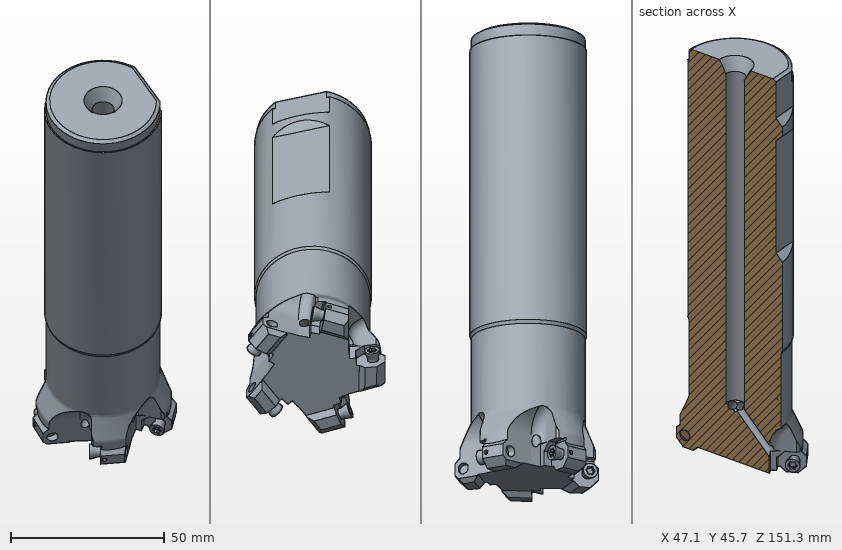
import cadquery as cq
import math

total_height = 151.3
shank_radius = 19.0
neck_radius = 18.6
cap_base = 146.7
top_chamfer_width = 1.2
top_chamfer_height = 0.8
step_top = 49.9
step_bottom = 48.7

head_radius = 22.2
flare_top = 20.0
flare_bottom = 11.6
flare_blend_radius = 2.3
head_base = 1.8

flat_distance = 16.5
flat_depth = shank_radius - flat_distance
lower_flat_start = 86.0
lower_flat_end = 128.3
upper_flat_start = 136.9

bore_radius = 3.6
bore_mouth_radius = 6.2
bore_mouth_depth = 4.5
bore_end = 22.7
bore_tip_angle = 118.0

tooth_count = 5
tooth_pitch = 360.0 / tooth_count
first_tooth_angle = 260.0
seat_y = -0.9
lip_y = -3.8

lip_bevel_x = 21.0
lip_bevel_width = 1.2
lip_bevel_height = 0.8

seat_half_width = 4.7
octagon_sides = 8
octagon_half_step = 180.0 / octagon_sides
seat_half_side = seat_half_width * math.tan(math.radians(octagon_half_step))
seat_center_x = 19.0
seat_center_z = seat_half_width
seat_relief = 6.0
groove_radius = 0.5
seat_back_y = 12.1

flank_hole_radius = 0.68
flank_hole_depth = 1.2
flank_hole_y = 0.5

floor_x = 12.4
floor_end_y = -7.5
wall_tilt = 6.0
gullet_corner_radius = 3.3
heel_bevel = 1.5
ceiling_start = 12.1
ceiling_radius = 10.3

duct_radius = 1.5
duct_y = -5.6
duct_exit_z = 10.5
duct_slope = 45.0

screw_x = 19.8
screw_z = seat_center_z
screw_head_radius = 2.4
screw_rim = 0.8
screw_head_y = -4.5
screw_shank_radius = 1.8
screw_end_y = 5.5
cone_end_y = -1.8
socket_depth = 1.4
socket_core_radius = 1.13
socket_lobe_radius = 0.38
lobe_count = 6

reach = 45.4
margin = 0.2


def at_tooth(shape, index):
    """Turn a shape from the tooth frame to the place of one tooth."""
    return shape.rotate((0, 0, 0), (0, 0, 1), first_tooth_angle + index * tooth_pitch)


def tooth_plane(y):
    """Vertical plane at one Y of the tooth frame: local x is outward, local y is up, normal is -Y."""
    return cq.Plane(origin=(0, y, 0), xDir=(1, 0, 0), normal=(0, -1, 0))


def make_blank():
    """Shank, neck and flared head as one turned shape."""
    profile = (
        cq.Workplane("XZ")
        .moveTo(0, head_base)
        .lineTo(head_radius, head_base)
        .lineTo(head_radius, flare_bottom)
        .lineTo(neck_radius, flare_top)
        .lineTo(neck_radius, step_bottom)
        .lineTo(shank_radius, step_top)
        .lineTo(shank_radius, cap_base)
        .lineTo(neck_radius, cap_base)
        .lineTo(neck_radius, total_height - top_chamfer_height)
        .lineTo(neck_radius - top_chamfer_width, total_height)
        .lineTo(0, total_height)
        .close()
    )
    blank = profile.revolve(360, (0, 0, 0), (0, 1, 0))
    for height in (flare_bottom, flare_top):
        band = cq.selectors.BoxSelector(
            (-reach, -reach, height - margin), (reach, reach, height + margin), boundingbox=True
        )
        blank = blank.edges(band).fillet(flare_blend_radius)
    return blank


def make_flats():
    """Tools for the two flats; the upper one runs out through the top."""
    lower = (
        cq.Workplane("YZ")
        .moveTo(flat_distance, lower_flat_start)
        .lineTo(flat_distance, lower_flat_end)
        .lineTo(flat_distance + 2 * flat_depth, lower_flat_end + 2 * flat_depth)
        .lineTo(flat_distance + 2 * flat_depth, lower_flat_start - 2 * flat_depth)
        .close()
        .extrude(shank_radius, both=True)
    )
    upper = (
        cq.Workplane("YZ")
        .moveTo(flat_distance - top_chamfer_width, total_height)
        .lineTo(flat_distance, total_height - top_chamfer_height)
        .lineTo(flat_distance, upper_flat_start)
        .lineTo(flat_distance + flat_depth, upper_flat_start - flat_depth)
        .lineTo(flat_distance + flat_depth, total_height)
        .close()
        .extrude(shank_radius, both=True)
    )
    return [lower, upper]


def make_bore():
    """Blind coolant bore with a conical mouth and a drill tip."""
    tip_height = bore_radius / math.tan(math.radians(bore_tip_angle / 2))
    return (
        cq.Workplane("XZ")
        .moveTo(0, total_height)
        .lineTo(bore_mouth_radius, total_height)
        .lineTo(bore_radius, total_height - bore_mouth_depth)
        .lineTo(bore_radius, bore_end)
        .lineTo(0, bore_end - tip_height)
        .close()
        .revolve(360, (0, 0, 0), (0, 1, 0))
    )


def make_octagon(y_front, y_back):
    """Octagonal prism lying along Y, centred on the insert seat."""
    corner_radius = seat_half_width / math.cos(math.radians(octagon_half_step))
    return (
        cq.Workplane(tooth_plane(y_back))
        .center(seat_center_x, seat_center_z)
        .transformed(rotate=(0, 0, octagon_half_step))
        .polygon(octagon_sides, 2 * corner_radius)
        .extrude(y_back - y_front)
    )


def make_vault():
    """Channel along Y with a flat side at X = 0 that curves over into a ceiling."""
    ceiling_top = ceiling_start + ceiling_radius
    diagonal = ceiling_radius * math.sqrt(0.5)
    return (
        cq.Workplane("XZ")
        .moveTo(0, -reach)
        .lineTo(0, ceiling_start)
        .threePointArc(
            (ceiling_radius - diagonal, ceiling_start + diagonal),
            (ceiling_radius, ceiling_top),
        )
        .lineTo(reach, ceiling_top)
        .lineTo(reach, -reach)
        .close()
        .extrude(reach)
    )


def make_gullet():
    """Gullet tool: rounded corner at the lip, then the tilted back wall of the tooth ahead."""
    corner = make_vault().translate((floor_x, lip_y, 0))
    rounded_edges = cq.selectors.BoxSelector(
        (floor_x - margin, lip_y - margin, -2 * reach),
        (floor_x + ceiling_radius + margin, lip_y + margin, reach),
        boundingbox=True,
    )
    top_edge = cq.selectors.BoxSelector(
        (floor_x + margin, lip_y - margin, ceiling_start + ceiling_radius - margin),
        (2 * reach, lip_y + margin, reach),
        boundingbox=True,
    )
    corner = corner.edges(rounded_edges + top_edge).fillet(gullet_corner_radius)
    corner_space = (
        cq.Workplane("XY")
        .box(2 * reach, lip_y - floor_end_y, 4 * reach)
        .translate((0, (lip_y + floor_end_y) / 2, 0))
    )
    wall_space = (
        cq.Workplane("XY")
        .box(4 * reach, 2 * reach, 4 * reach)
        .translate((0, floor_end_y - reach, 0))
    )
    wall = (
        make_vault()
        .translate((0, reach / 2, 0))
        .rotate((0, 0, 0), (0, 0, 1), wall_tilt)
        .translate((floor_x, floor_end_y, 0))
    )
    return corner.intersect(corner_space).union(wall.intersect(wall_space))


def make_heel_bevel():
    """45 degree bevel along the foot of the back wall of the tooth ahead."""
    return (
        cq.Workplane("XZ")
        .moveTo(-2 * heel_bevel, -heel_bevel)
        .lineTo(heel_bevel, 2 * heel_bevel)
        .lineTo(heel_bevel, -heel_bevel)
        .close()
        .extrude(reach)
        .rotate((0, 0, 0), (0, 0, 1), wall_tilt)
        .translate((floor_x, floor_end_y, 0))
    )


def make_pocket():
    """Space for the insert in front of the seat, open outward and downward."""
    octagon = make_octagon(lip_y, seat_y)
    corner_x = seat_center_x - seat_half_width
    below = (
        cq.Workplane("XY")
        .box(reach, seat_y - lip_y, reach, centered=False)
        .translate((corner_x, lip_y, seat_center_z - reach))
    )
    outside = (
        cq.Workplane("XY")
        .box(reach, seat_y - lip_y, seat_half_width, centered=False)
        .translate((seat_center_x, lip_y, seat_center_z))
    )
    inner_step = (
        cq.Workplane("XY")
        .box(reach, lip_y - floor_end_y, reach, centered=False)
        .translate((floor_x, floor_end_y, seat_center_z + seat_half_width - reach))
    )
    groove = cq.Workplane(
        cq.Solid.makeCylinder(
            groove_radius,
            reach,
            cq.Vector(seat_center_x - seat_half_side, seat_y, seat_center_z + seat_half_width),
            cq.Vector(1, 0, 0),
        )
    )
    return octagon.union(below).union(outside).union(inner_step).union(groove)


def make_duct():
    """Round coolant duct falling outward from the bore axis to the gullet floor."""
    run = math.hypot(floor_x, duct_y)
    start = cq.Vector(0, 0, duct_exit_z + run * math.tan(math.radians(duct_slope)))
    path = cq.Vector(floor_x, duct_y, duct_exit_z) - start
    length = path.Length + 2 * duct_radius
    return cq.Workplane(cq.Solid.makeCylinder(duct_radius, length, start, path))


def make_lip_bevel():
    """Wedge that takes the sharp outer corner off the lip."""
    return (
        cq.Workplane("XY")
        .moveTo(lip_bevel_x, lip_y)
        .lineTo(lip_bevel_x + 2 * lip_bevel_width, lip_y)
        .lineTo(lip_bevel_x + 2 * lip_bevel_width, lip_y + 2 * lip_bevel_height)
        .close()
        .extrude(flare_top)
    )


def make_flank_hole():
    """Small blind hole in the outer flank of the seat."""
    return cq.Workplane(
        cq.Solid.makeCylinder(
            flank_hole_radius,
            reach,
            cq.Vector(seat_center_x + seat_half_width - flank_hole_depth, flank_hole_y, seat_center_z),
            cq.Vector(1, 0, 0),
        )
    )


def make_screw_hole():
    """Hole for the screw shank, through the seat and out of the back of the tooth."""
    return (
        cq.Workplane(tooth_plane(reach / 2))
        .center(screw_x, screw_z)
        .circle(screw_shank_radius)
        .extrude(reach / 2 - seat_y)
    )


def make_screw():
    """Countersunk-head screw standing proud of the seat, with a six-lobed socket."""
    screw = (
        cq.Workplane("XY")
        .moveTo(0, screw_head_y)
        .lineTo(screw_head_radius, screw_head_y)
        .lineTo(screw_head_radius, screw_head_y + screw_rim)
        .lineTo(screw_shank_radius, cone_end_y)
        .lineTo(screw_shank_radius, screw_end_y)
        .lineTo(0, screw_end_y)
        .close()
        .revolve(360, (0, 0, 0), (0, 1, 0))
        .translate((screw_x, 0, screw_z))
    )
    socket = cq.Workplane(tooth_plane(screw_head_y + socket_depth)).center(screw_x, screw_z)
    core = socket.circle(socket_core_radius).extrude(socket_depth)
    lobes = (
        socket.polarArray(socket_core_radius, 0, 360, lobe_count)
        .circle(socket_lobe_radius)
        .extrude(socket_depth)
    )
    return screw.cut(core).cut(lobes)


def make_cutter():
    """Cutter body with its flats, bore and five teeth."""
    cutter = make_blank()
    outer_corner = (seat_center_x + seat_half_width, seat_y)
    seat = make_octagon(lip_y, seat_back_y).rotate(
        (*outer_corner, 0), (*outer_corner, 1), seat_relief
    )
    for index in range(tooth_count):
        cutter = cutter.union(at_tooth(seat, index))
    for tool in make_flats() + [make_bore()]:
        cutter = cutter.cut(tool)
    tooth_tools = [
        make_gullet(),
        make_heel_bevel(),
        make_pocket(),
        make_lip_bevel(),
        make_duct(),
        make_screw_hole(),
        make_flank_hole(),
    ]
    for index in range(tooth_count):
        for tool in tooth_tools:
            cutter = cutter.cut(at_tooth(tool, index))
    return cutter


cutter = make_cutter().solids().val()
screw = make_screw().solids().val()
screws = [at_tooth(screw, index) for index in range(tooth_count)]

result = cq.Compound.makeCompound([cutter, *screws])